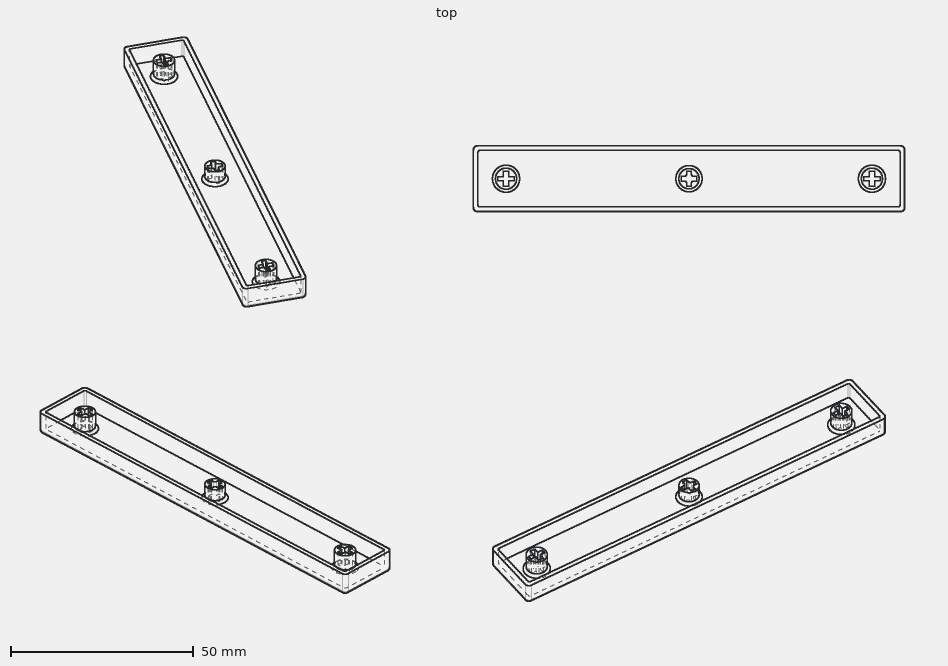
import cadquery as cq

length = 118.1
width = 18.1
height = 6.7
corner_radius = 1.2
bottom_radius = 1.17

rim_wall = 1.3
floor_thickness = 1.3
cavity_corner_radius = 0.5

post_pitch = 50.0
end_post_top = height
middle_post_top = 5.7
end_post_diameter = 5.8
middle_post_diameter = 5.5
post_base_chamfer = 0.8
end_socket = {"span_x": 4.5, "span_y": 4.1, "slot_x": 1.2, "slot_y": 1.4}
middle_socket = {"span_x": 4.1, "span_y": 4.1, "slot_x": 1.3, "slot_y": 1.3}
middle_socket_fillet = 0.6


def make_tray():
    """Rounded block with the cavity cut down to the floor."""
    block = cq.Workplane("XY").box(length, width, height, centered=(True, True, False))
    block = block.edges("|Z").fillet(corner_radius)
    block = block.faces("<Z").edges().fillet(bottom_radius)
    cavity = (
        cq.Workplane("XY", origin=(0, 0, height))
        .sketch()
        .rect(length - 2 * rim_wall, width - 2 * rim_wall)
        .vertices()
        .fillet(cavity_corner_radius)
        .finalize()
        .extrude(floor_thickness - height)
    )
    return block.cut(cavity)


def make_post(x, diameter, top):
    """Round post with a chamfered foot where it meets the floor."""
    radius = diameter / 2
    foot_radius = radius + post_base_chamfer
    return (
        cq.Workplane("XZ")
        .lineTo(foot_radius, 0)
        .lineTo(foot_radius, floor_thickness)
        .lineTo(radius, floor_thickness + post_base_chamfer)
        .lineTo(radius, top)
        .lineTo(0, top)
        .close()
        .revolve(360, (0, 0, 0), (0, 1, 0))
        .translate((x, 0, 0))
    )


def make_socket(x, span_x, span_y, slot_x, slot_y):
    """Cross through the full tray depth; slot_x and slot_y are the widths of its X and Y arms."""
    floor = cq.Workplane("XY", origin=(x, 0, floor_thickness))
    return floor.rect(span_x, slot_x).extrude(height - floor_thickness).union(
        floor.rect(slot_y, span_y).extrude(height - floor_thickness)
    )


def round_inner_corners(socket, slot_x, slot_y):
    """Round the four upright edges where the arms of a centred cross meet."""
    reach = 0.1
    corner_box = cq.selectors.BoxSelector(
        (-slot_y / 2 - reach, -slot_x / 2 - reach, 0),
        (slot_y / 2 + reach, slot_x / 2 + reach, height),
    )
    return socket.edges("|Z").edges(corner_box).fillet(middle_socket_fillet)


result = make_tray()

for post_x in (-post_pitch, post_pitch):
    result = result.union(make_post(post_x, end_post_diameter, end_post_top))
    result = result.cut(make_socket(post_x, **end_socket))

cross = make_socket(0, **middle_socket)
cross = round_inner_corners(cross, middle_socket["slot_x"], middle_socket["slot_y"])
result = result.union(make_post(0, middle_post_diameter, middle_post_top)).cut(cross)